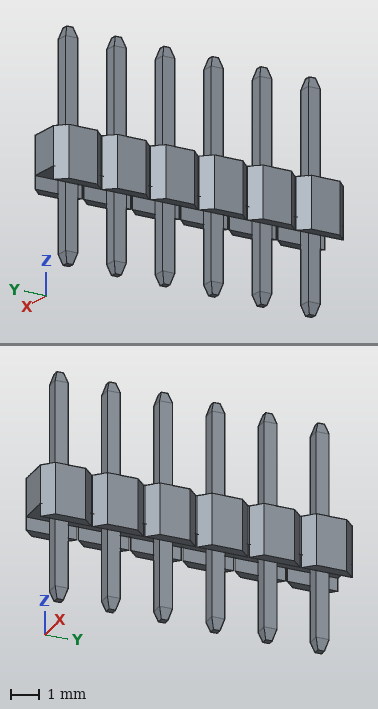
import cadquery as cq

pin_count = 6
body_length = 11.95
body_width = 2.0
body_height = 2.0
block_length = 1.95
corner_chamfer = 0.4
channel_height = 0.5
pin_side = 0.5
tip_side = 0.25
tip_length = 0.42
pin_above_body = 3.99
pin_below_body = 2.81

pitch = (body_length - block_length) / (pin_count - 1)
end_face_width = body_width - 2 * corner_chamfer
pin_places = [(i - (pin_count - 1) / 2) * pitch for i in range(pin_count)]
shaft_bottom = tip_length - pin_below_body
shaft_top = body_height + pin_above_body - tip_length


def make_body():
    """Row of chamfered blocks joined by a web, with a channel along the underside."""
    block = (
        cq.Workplane("XY")
        .box(body_width, block_length, body_height, centered=(True, True, False))
        .edges("|Z")
        .chamfer(corner_chamfer)
    )
    web = cq.Workplane("XY").box(
        end_face_width, body_length, body_height, centered=(True, True, False)
    )
    channel = cq.Workplane("XY").box(
        end_face_width, body_length, channel_height, centered=(True, True, False)
    )
    body = web
    for block_y in pin_places:
        body = body.union(block.translate((0, block_y, 0)))
    return body.cut(channel)


def make_tip(base_z, direction):
    """Tapered pin end growing from base_z up (+1) or down (-1)."""
    return (
        cq.Workplane("XY", origin=(0, 0, base_z))
        .rect(pin_side, pin_side)
        .workplane(offset=direction * tip_length)
        .rect(tip_side, tip_side)
        .loft(ruled=True)
    )


def make_pin():
    """Square pin with a tapered tip at both ends."""
    shaft = (
        cq.Workplane("XY", origin=(0, 0, shaft_bottom))
        .rect(pin_side, pin_side)
        .extrude(shaft_top - shaft_bottom)
    )
    return shaft.union(make_tip(shaft_top, 1)).union(make_tip(shaft_bottom, -1))


result = make_body()
pin = make_pin()
for pin_y in pin_places:
    result = result.union(pin.translate((0, pin_y, 0)))